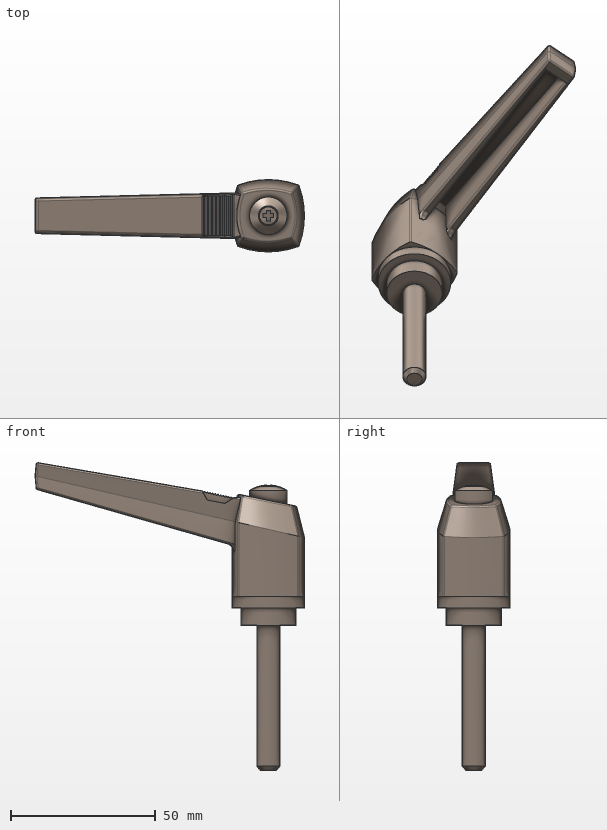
import cadquery as cq
import math


stud_diameter = 8.0
stud_tip_diameter = 5.2
stud_tip_height = 1.6
foot_diameter = 19.0
foot_bottom_z = 50.1
collar_diameter = 25.0
collar_bottom_z = 56.2
collar_top_z = 60.1

head_half_width = collar_diameter / 2
head_corner = 10.5
parting_slope = 0.229
parting_axis_z = 83.3
head_top_slope = 0.204
head_top_axis_z = 93.3
head_top_center_x = -0.4
head_top_half_x = 10.2
head_top_half_y = 9.3
head_edge_radius = 0.8

cap_diameter = 13.0
cap_edge_z = 96.7
cap_top_z = 98.6
cap_radius = cap_diameter / 2
dome_height = cap_top_z - cap_edge_z
ring_diameter = 6.8
ring_width = 0.3
ring_depth = 0.4
cross_length = 3.7
cross_arm_width = 1.4
cross_depth = 1.3

overall_length = 92.9
tip_x = head_half_width - overall_length
tip_lean = 0.4
root_x = -8.5
lever_top_slope = 0.172
lever_top_tip_z = 106.4
lever_bottom_slope = 0.285
lever_bottom_tip_z = 97.2
tip_half_top = 5.7
tip_half_parting = 6.2
tip_half_bottom = 5.7
root_half_top = 7.4
root_half_parting = 8.0
root_half_bottom = 7.4
lever_edge_radius = 0.7

tip_wall = 3.7
channel_start_x = tip_x + tip_wall
channel_roof = 3.4
channel_half_top = 3.7
channel_half_bottom = 4.2
channel_edge_radius = 0.7

gusset_radius = 3.0
gusset_foot_x = -11.9
gusset_half_inner = 4.4
gusset_half_outer = 7.3
gusset_edge_radius = 0.7

grip_start_x = -22.8
grip_end_x = -11.9
grip_slope = 0.21
ridge_count = 12
ridge_depth = 0.4
grip_half_width = 6.8
grip_floor_start_x = -21.0
grip_floor_end_x = -15.0
grip_floor_start_z = 93.4
grip_floor_end_z = 92.2

position_tolerance = 0.1


def parting_z(x):
    return parting_axis_z - parting_slope * x


def head_top_z(x):
    return head_top_axis_z - head_top_slope * x


def lever_top_z(x):
    return lever_top_tip_z - lever_top_slope * (x - tip_x)


def lever_bottom_z(x):
    return lever_bottom_tip_z - lever_bottom_slope * (x - tip_x)


def barrel_outline(center_x, center_z, slope, half_x, half_y):
    """Closed wire with four bulging sides, in a plane that falls along X."""
    plane = cq.Plane(
        origin=(center_x, 0, center_z), xDir=(1, 0, -slope), normal=(slope, 0, 1)
    )
    mid_x = half_x * math.hypot(1, slope)
    mid_y = half_y
    corner_x = mid_x * head_corner / head_half_width
    corner_y = mid_y * head_corner / head_half_width
    return (
        cq.Workplane(plane)
        .moveTo(corner_x, -corner_y)
        .threePointArc((mid_x, 0), (corner_x, corner_y))
        .threePointArc((0, mid_y), (-corner_x, corner_y))
        .threePointArc((-mid_x, 0), (-corner_x, -corner_y))
        .threePointArc((0, -mid_y), (corner_x, -corner_y))
        .close()
        .val()
    )


def lever_outline(start_x, start_half, end_half, height):
    """Tapering four-sided wire that follows the given height function along X."""
    start_z = height(start_x)
    end_z = height(root_x)
    return cq.Wire.makePolygon(
        [
            cq.Vector(start_x, -start_half, start_z),
            cq.Vector(root_x, -end_half, end_z),
            cq.Vector(root_x, end_half, end_z),
            cq.Vector(start_x, start_half, start_z),
        ],
        close=True,
    )


def make_stud():
    half_section = (
        cq.Workplane("XZ")
        .lineTo(stud_tip_diameter / 2, 0)
        .lineTo(stud_diameter / 2, stud_tip_height)
        .lineTo(stud_diameter / 2, foot_bottom_z)
        .lineTo(foot_diameter / 2, foot_bottom_z)
        .lineTo(foot_diameter / 2, collar_bottom_z)
        .lineTo(collar_diameter / 2, collar_bottom_z)
        .lineTo(collar_diameter / 2, collar_top_z)
        .lineTo(0, collar_top_z)
        .close()
    )
    return half_section.revolve(360, (0, 0, 0), (0, 1, 0))


def make_head():
    sections = [
        barrel_outline(0, collar_top_z, 0, head_half_width, head_half_width),
        barrel_outline(0, parting_axis_z, parting_slope, head_half_width, head_half_width),
        barrel_outline(
            head_top_center_x,
            head_top_z(head_top_center_x),
            head_top_slope,
            head_top_half_x,
            head_top_half_y,
        ),
    ]
    head = cq.Workplane(cq.Solid.makeLoft(sections, True))
    upright_edges = head.edges().filter(
        lambda edge: min(abs(edge.Center().x), abs(edge.Center().y)) > head_half_width / 2
    )
    return upright_edges.add(head.faces(">Z").edges()).fillet(head_edge_radius)


def make_cap():
    dome_radius = (cap_radius**2 + dome_height**2) / (2 * dome_height)
    mid_x = cap_radius / 2
    mid_z = cap_top_z - dome_radius + math.sqrt(dome_radius**2 - mid_x**2)
    return (
        cq.Workplane("XZ")
        .moveTo(0, parting_axis_z)
        .lineTo(cap_radius, parting_axis_z)
        .lineTo(cap_radius, cap_edge_z)
        .threePointArc((mid_x, mid_z), (0, cap_top_z))
        .close()
        .revolve(360, (0, 0, 0), (0, 1, 0))
    )


def cut_cap_details(body):
    ring_z = cap_top_z - dome_height * (ring_diameter / cap_diameter) ** 2
    ring = (
        cq.Workplane("XY", origin=(0, 0, ring_z - ring_depth))
        .circle(ring_diameter / 2)
        .circle(ring_diameter / 2 - ring_width)
        .extrude(cap_top_z - ring_z + ring_depth)
    )
    cross_plane = cq.Workplane("XY", origin=(0, 0, cap_top_z - cross_depth))
    arm_x = cross_plane.rect(cross_length, cross_arm_width).extrude(cross_depth)
    arm_y = cross_plane.rect(cross_arm_width, cross_length).extrude(cross_depth)
    return body.cut(ring).cut(arm_x.union(arm_y))


def make_lever():
    leaning_x = tip_x + tip_lean
    sections = [
        lever_outline(leaning_x, tip_half_bottom, root_half_bottom, lever_bottom_z),
        lever_outline(tip_x, tip_half_parting, root_half_parting, parting_z),
        lever_outline(leaning_x, tip_half_top, root_half_top, lever_top_z),
    ]
    lever = cq.Workplane(cq.Solid.makeLoft(sections, True))

    def is_outer(edge):
        center = edge.Center()
        on_root = center.x > root_x - position_tolerance
        on_parting = abs(center.z - parting_z(center.x)) < position_tolerance
        return not on_root and not on_parting

    return lever.edges().filter(is_outer).fillet(lever_edge_radius)


def make_upright_barrel():
    """Barrel without taper: it closes the channel with an upright wall."""
    outline = barrel_outline(0, collar_top_z, 0, head_half_width, head_half_width)
    return cq.Workplane("XY").add(outline).toPending().extrude(lever_top_tip_z - collar_top_z)


def make_channel():
    def channel_top_z(x):
        return lever_top_z(x) - channel_roof

    sections = [
        lever_outline(channel_start_x, channel_half_bottom, channel_half_bottom, lever_bottom_z),
        lever_outline(channel_start_x, channel_half_top, channel_half_top, channel_top_z),
    ]
    channel = cq.Workplane(cq.Solid.makeLoft(sections, True))
    return channel.cut(make_upright_barrel())


def hollow_out(lever):
    """Cut the channel into the lever and round its long lower edges."""
    hollow = lever.cut(make_channel())

    def is_rim(edge):
        center = edge.Center()
        on_bottom = abs(center.z - lever_bottom_z(center.x)) < position_tolerance
        beside_channel = abs(abs(center.y) - channel_half_bottom) < position_tolerance
        return on_bottom and beside_channel

    return hollow.edges().filter(is_rim).fillet(channel_edge_radius)


def make_gussets():
    lean = math.atan(lever_bottom_slope)
    center_x = gusset_foot_x - gusset_radius
    center_z = lever_bottom_z(center_x) - gusset_radius / math.cos(lean)

    def on_arc(angle):
        return (
            center_x + gusset_radius * math.cos(angle),
            center_z + gusset_radius * math.sin(angle),
        )

    start_angle = math.pi / 2 - lean
    start_x, start_z = on_arc(start_angle)
    wall_start_x = start_x + gusset_edge_radius * math.sin(lean)
    wall_start_z = start_z + gusset_edge_radius * math.cos(lean)
    wall_end_z = lever_bottom_z(root_x) + gusset_edge_radius / math.cos(lean)
    gusset = (
        cq.Workplane("XZ", origin=(0, -gusset_half_inner, 0))
        .moveTo(start_x, start_z)
        .threePointArc(on_arc(start_angle / 2), on_arc(0))
        .lineTo(root_x, center_z)
        .lineTo(root_x, wall_end_z)
        .lineTo(wall_start_x, wall_start_z)
        .close()
        .extrude(gusset_half_outer - gusset_half_inner)
    )
    gusset = gusset.edges("%CIRCLE").fillet(gusset_edge_radius)
    return gusset.union(gusset.mirror("XZ"))


def cut_grip(lever):
    """Cut the ridged thumb rest and set its flanks back to a constant width."""
    start_z = lever_top_z(grip_start_x)
    pitch = (grip_end_x - grip_start_x) / ridge_count
    clear_z = lever_top_tip_z

    def peak_line_z(x):
        return start_z - grip_slope * (x - grip_start_x)

    end_z = peak_line_z(grip_end_x)
    ridges = cq.Workplane("XZ", origin=(0, root_half_top, 0)).moveTo(grip_start_x, start_z)
    for i in range(ridge_count):
        peak_x = grip_start_x + pitch * (i + 1)
        valley_x = peak_x - pitch / 2
        ridges = ridges.lineTo(valley_x, peak_line_z(valley_x) - ridge_depth)
        ridges = ridges.lineTo(peak_x, peak_line_z(peak_x))
    ridges = (
        ridges.lineTo(root_x, end_z)
        .lineTo(root_x, clear_z)
        .lineTo(grip_start_x, clear_z)
        .close()
        .extrude(2 * root_half_top)
    )

    flank = (
        cq.Workplane("XZ", origin=(0, -grip_half_width, 0))
        .moveTo(grip_start_x, start_z)
        .lineTo(grip_floor_start_x, grip_floor_start_z)
        .lineTo(grip_floor_end_x, grip_floor_end_z)
        .lineTo(grip_end_x, end_z)
        .close()
        .extrude(root_half_parting)
    )
    return lever.cut(ridges).cut(flank).cut(flank.mirror("XZ"))


lever = cut_grip(hollow_out(make_lever()))
result = make_stud().union(make_head()).union(make_cap()).union(lever).union(make_gussets())
result = cut_cap_details(result)